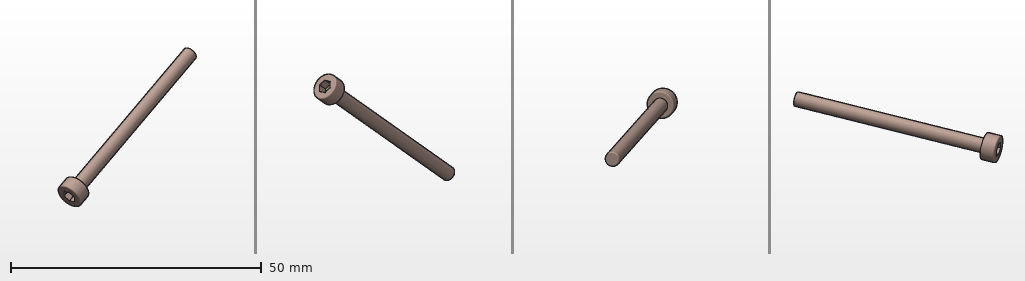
import cadquery as cq
import math

shank_diameter = 3.0
shank_length = 40.0

head_diameter = 5.6
head_height = 3.0

edge_radius = 0.25

hex_sides = 6
socket_across_flats = 2.5
socket_depth = 2.0


def disc_along_y(diameter, start, length):
    """Cylinder on the Y axis, running from Y = start toward +Y."""
    plane = cq.Workplane("XZ", origin=(0, start, 0))
    return plane.circle(diameter / 2).extrude(-length)


def make_head():
    """Cylindrical head below Y = 0, rounded on both rims."""
    head = disc_along_y(head_diameter, -head_height, head_height)
    return head.faces("<Y or >Y").edges().fillet(edge_radius)


def make_shank():
    """Plain shank above Y = 0, rounded at its tip."""
    shank = disc_along_y(shank_diameter, 0, shank_length)
    return shank.faces(">Y").edges().fillet(edge_radius)


def make_socket():
    """Hexagonal recess in the head, with two opposite corners pointing along Z."""
    across_corners = socket_across_flats / math.cos(math.pi / hex_sides)
    plane = cq.Workplane("XZ", origin=(0, -head_height, 0)).transformed(rotate=(0, 0, 90))
    return plane.polygon(hex_sides, across_corners).extrude(-socket_depth)


result = make_head().union(make_shank()).cut(make_socket())